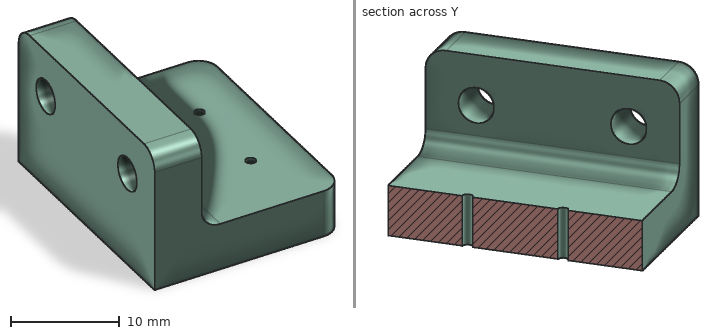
import cadquery as cq

width = 25.0
depth = 20.0
height = 15.0
thickness = 5.0

corner_radius = 2.0
inner_fillet_radius = 2.0

mount_hole_diameter = 3.5
mount_hole_spacing = 15.0
mount_hole_height = 10.0

pin_hole_diameter = 1.0
pin_hole_spacing = 9.4
pin_hole_setback = 14.75

bracket = (
    cq.Workplane("YZ")
    .polyline([
        (0, 0),
        (depth, 0),
        (depth, thickness),
        (thickness, thickness),
        (thickness, height),
        (0, height),
    ])
    .close()
    .extrude(width / 2, both=True)
)

inner_edge = cq.selectors.NearestToPointSelector((0, thickness, thickness))
bracket = bracket.edges(inner_edge).fillet(inner_fillet_radius)

bracket = bracket.faces(">Z").edges("|Y").fillet(corner_radius)
bracket = bracket.faces(">Y").edges("|Z").fillet(corner_radius)


def hole_pair(plane, spacing, offset, diameter, length):
    """Two cylinders centred about X = 0, running both ways from the plane."""
    return (
        cq.Workplane(plane)
        .pushPoints([(-spacing / 2, offset), (spacing / 2, offset)])
        .circle(diameter / 2)
        .extrude(length, both=True)
    )


mount_holes = hole_pair("XZ", mount_hole_spacing, mount_hole_height, mount_hole_diameter, depth)
pin_holes = hole_pair("XY", pin_hole_spacing, pin_hole_setback, pin_hole_diameter, height)

result = bracket.cut(mount_holes).cut(pin_holes)